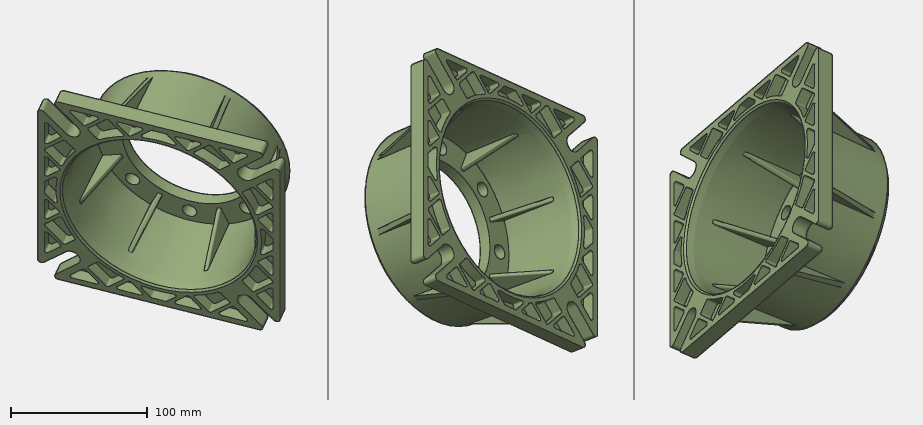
import cadquery as cq
import math

plate_side = 187.7
plate_thick = 13.9
plate_edge_round = 2.8
tip_round = 2.8
slot_width = 13.1
slot_end_offset = 67.4

pocket_depth = 9.4
pocket_corner_round = 1.7
web = 3.0
rim_wall = 5.3
slot_wall = 5.8
outer_web_offset = 92.5
middle_web_offset = 68.3
inner_web_offset = 36.4

length = 78.6
sleeve_base_radius = 77.3
sleeve_end_radius = 75.8
sleeve_base_round = 1.1
shoulder_y = 75.5
shoulder_round = 1.3
mouth_radius = 76.5
mouth_chamfer = 1.5
throat_y = 7.5
throat_radius = 74.1
floor_radius = 72.6
flange_inner_y = 68.9
bore_radius = 52.2

boss_radius = 72.2
boss_face_radius = 63.8
boss_rim_drop = 0.4
pad_radius = 73.0
pad_width = 15.5
pad_top_y = 77.7

hole_count = 8
hole_radius = 5.6
hole_circle_radius = 62.5

rib_angle = 23.3
outer_rib_foot_radius = 92.3
outer_rib_root_width = 4.5
outer_rib_foot_width = 3.4
outer_rib_top_y = 67.5
inner_rib_width = 3.8
inner_rib_tip_radius = 56.7
inner_rib_mouth_y = 19.1
inner_rib_crest_round = 1.1
rib_embed = 0.5
rib_root_radius = throat_radius + rib_embed

AXIS_START = (0, 0, 0)
AXIS_END = (0, 1, 0)
half_side = plate_side / 2


def turn(body, angle):
    """Rotate a body about the Y axis, from +X toward +Z for positive angles."""
    return body.rotate(AXIS_START, AXIS_END, -angle)


def gather(bodies):
    """One workplane holding all the given bodies."""
    return cq.Workplane("XZ").newObject([body.val() for body in bodies])


def disc(radius, start_y, end_y):
    """Cylinder about the Y axis."""
    return cq.Workplane("XZ", origin=(0, start_y, 0)).circle(radius).extrude(start_y - end_y)


def make_plate():
    """Square with a round-ended slot running out of each corner."""
    end_distance = slot_end_offset * math.sqrt(2)
    slot = (
        cq.Workplane("XZ")
        .center(end_distance + half_side / 2, 0)
        .rect(half_side, slot_width)
        .extrude(-plate_thick)
        .union(cq.Workplane("XZ").center(end_distance, 0).circle(slot_width / 2).extrude(-plate_thick))
    )
    plate = cq.Workplane("XZ").rect(plate_side, plate_side).extrude(-plate_thick)
    for quarter in range(4):
        plate = plate.cut(turn(slot, 45 + 90 * quarter))
    plate = plate.edges("|Y").edges("<X or >X or <Z or >Z").fillet(tip_round)
    return plate.faces(">Y").edges().fillet(plate_edge_round)


def prism(points):
    """Pocket-deep prism on an outline of (x, z) points."""
    return cq.Workplane("XZ").polyline(points).close().extrude(-pocket_depth)


def crossing(rising, falling):
    """Point where the lines z - x = rising * sqrt(2) and x + z = falling * sqrt(2) meet."""
    return ((falling - rising) / math.sqrt(2), (falling + rising) / math.sqrt(2))


def on_rim(rising=None, falling=None):
    """Point on the rim wall of a diagonal line given by its distance from the axis."""
    z = half_side - rim_wall
    if rising is not None:
        return (z - rising * math.sqrt(2), z)
    return (falling * math.sqrt(2) - z, z)


def make_pockets():
    """Seven pockets along the +Z side, repeated on all four sides."""
    slot_line = slot_width / 2 + slot_wall
    ring_radius = mouth_radius + web
    inside_ring = ring_radius / 2
    ring = disc(ring_radius, 0, pocket_depth)

    corner_line = outer_web_offset + web / 2
    corner = prism([
        on_rim(falling=slot_line),
        on_rim(rising=corner_line),
        crossing(corner_line, slot_line),
    ])

    slanted_line = outer_web_offset - web / 2
    slanted_end = inner_web_offset - web / 2
    slanted = prism([
        crossing(slanted_line, slot_line),
        crossing(slanted_line, slanted_end),
        crossing(inside_ring, slanted_end),
        crossing(inside_ring, slot_line),
    ]).cut(ring)

    side_start = inner_web_offset + web / 2
    side_line = middle_web_offset + web / 2
    side = prism([
        on_rim(falling=side_start),
        on_rim(rising=side_line),
        crossing(side_line, side_start),
    ])

    centre_line = middle_web_offset - web / 2
    left_top = on_rim(rising=centre_line)
    left_low = crossing(centre_line, inside_ring)
    centre = prism([
        left_top,
        (-left_top[0], left_top[1]),
        (-left_low[0], left_low[1]),
        left_low,
    ]).cut(ring)

    shapes = []
    for shape in (corner, slanted, side):
        rounded = shape.edges("|Y").fillet(pocket_corner_round)
        shapes.append(rounded)
        shapes.append(rounded.mirror("YZ"))
    shapes.append(centre.edges("|Y").fillet(pocket_corner_round))
    return [turn(shape, 90 * quarter) for shape in shapes for quarter in range(4)]


def make_sleeve():
    """Outer solid of the sleeve and boss, still without its cavity."""
    return (
        cq.Workplane("XY")
        .moveTo(0, plate_thick / 2)
        .lineTo(sleeve_base_radius + sleeve_base_round, plate_thick / 2)
        .lineTo(sleeve_base_radius + sleeve_base_round, plate_thick)
        .radiusArc((sleeve_base_radius, plate_thick + sleeve_base_round), sleeve_base_round)
        .lineTo(sleeve_end_radius, shoulder_y - shoulder_round)
        .radiusArc((sleeve_end_radius - shoulder_round, shoulder_y), -shoulder_round)
        .lineTo(boss_radius, shoulder_y)
        .lineTo(boss_radius, length - boss_rim_drop)
        .lineTo(boss_face_radius, length)
        .lineTo(0, length)
        .close()
        .revolve(360, AXIS_START, AXIS_END)
    )


def make_cavity():
    """Chamfered mouth, tapered inner wall, flange floor and bore."""
    return (
        cq.Workplane("XY")
        .lineTo(mouth_radius, 0)
        .lineTo(mouth_radius - mouth_chamfer, mouth_chamfer)
        .lineTo(throat_radius, throat_y)
        .lineTo(floor_radius, flange_inner_y)
        .lineTo(bore_radius, flange_inner_y)
        .lineTo(bore_radius, length)
        .lineTo(0, length)
        .close()
        .revolve(360, AXIS_START, AXIS_END)
    )


def make_outer_rib():
    """Wedge on +X that thins from the sleeve toward its foot on the plate."""
    wedge = (
        cq.Workplane("XY")
        .polyline([
            (rib_root_radius, plate_thick - rib_embed),
            (outer_rib_foot_radius, plate_thick - rib_embed),
            (outer_rib_foot_radius, plate_thick),
            (sleeve_end_radius, outer_rib_top_y),
            (rib_root_radius, outer_rib_top_y),
        ])
        .close()
        .extrude(outer_rib_root_width, both=True)
    )
    plan = (
        cq.Workplane("XZ")
        .polyline([
            (rib_root_radius, -outer_rib_root_width / 2),
            (outer_rib_foot_radius, -outer_rib_foot_width / 2),
            (outer_rib_foot_radius, outer_rib_foot_width / 2),
            (rib_root_radius, outer_rib_root_width / 2),
        ])
        .close()
        .extrude(-length)
    )
    return wedge.intersect(plan)


def make_inner_rib():
    """Wedge on +X inside the sleeve, standing on the flange."""
    rib = (
        cq.Workplane("XY")
        .polyline([
            (inner_rib_tip_radius, flange_inner_y),
            (throat_radius, inner_rib_mouth_y),
            (rib_root_radius, inner_rib_mouth_y),
            (rib_root_radius, flange_inner_y),
        ])
        .close()
        .extrude(inner_rib_width / 2, both=True)
    )
    return rib.faces("<X").edges("not |Z").fillet(inner_rib_crest_round)


def make_pad():
    """Block on +X from a bolt hole outward, ending on the pad radius."""
    middle = (hole_circle_radius + pad_radius) / 2
    block = (
        cq.Workplane("XZ", origin=(0, shoulder_y, 0))
        .center(middle, 0)
        .rect(pad_radius - hole_circle_radius, pad_width)
        .extrude(shoulder_y - pad_top_y)
    )
    return block.intersect(disc(pad_radius, shoulder_y, pad_top_y))


def make_hole():
    return cq.Workplane("XZ").center(hole_circle_radius, 0).circle(hole_radius).extrude(-length)


rib_angles = [90 * quarter + side * rib_angle for quarter in range(4) for side in (-1, 1)]
hole_angles = [360 / hole_count * index for index in range(hole_count)]

outer_ribs = [turn(make_outer_rib(), angle) for angle in rib_angles]
inner_ribs = [turn(make_inner_rib(), angle) for angle in rib_angles]
pads = [turn(make_pad(), angle) for angle in hole_angles]
holes = [turn(make_hole(), angle) for angle in hole_angles]

result = make_plate().union(make_sleeve())
result = result.union(gather(outer_ribs + pads))
result = result.cut(make_cavity())
result = result.union(gather(inner_ribs))
result = result.cut(gather(make_pockets() + holes)).solids()